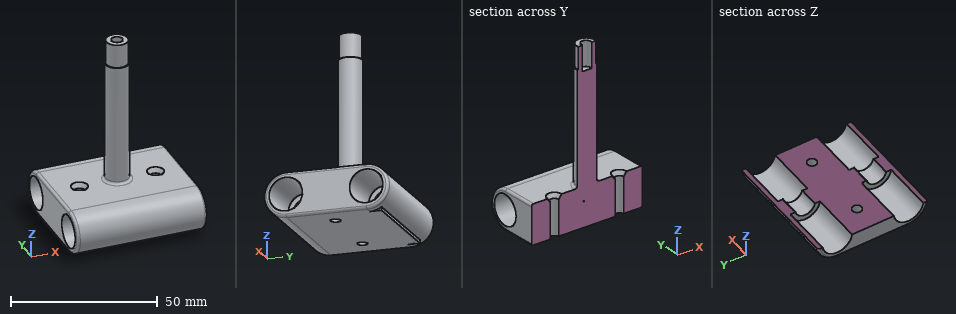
import cadquery as cq

body_length = 48.0
body_width = 45.0
body_height = 16.0
end_fillet = 1.0
body_top = body_height / 2
body_bottom = -body_height / 2

bore_offset = (body_width - body_height) / 2
bore_diameter = 8.0
socket_diameter = 12.0
socket_depth = 20.0

screw_spacing = 28.0
screw_diameter = 3.5
countersink_diameter = 5.9
countersink_angle = 70.0

overall_height = 69.97
post_offset_y = 0.5
post_diameter = 8.6
post_length = 45.2
post_fillet = 1.0
neck_diameter = 7.9
post_hole_diameter = 4.0
post_hole_depth = 10.0
post_top = body_bottom + overall_height
shoulder_z = body_top + post_length

foot_edge_y = 18.7
foot_length = 40.0


def make_body():
    profile = cq.Workplane("YZ").slot2D(body_width, body_height)
    block = profile.extrude(body_length / 2, both=True)
    return block.faces("<X or >X").edges().fillet(end_fillet)


def make_foot():
    """Wedge between the underside plane and the rounded +Y side."""
    foot_width = foot_edge_y - bore_offset
    foot_height = body_height / 2
    foot_centre = (0, bore_offset + foot_width / 2, body_bottom + foot_height / 2)
    block = cq.Workplane("XY").box(foot_length, foot_width, foot_height)
    return block.translate(foot_centre)


def make_post(body):
    """Body with the post added and its root blended into the top face."""
    shaft = (
        cq.Workplane("XY", origin=(0, post_offset_y, body_top))
        .circle(post_diameter / 2)
        .extrude(post_length)
    )
    neck = (
        cq.Workplane("XY", origin=(0, post_offset_y, shoulder_z))
        .circle(neck_diameter / 2)
        .extrude(post_top - shoulder_z)
    )
    root = cq.selectors.BoxSelector(
        (-post_diameter, post_offset_y - post_diameter, body_top - post_fillet),
        (post_diameter, post_offset_y + post_diameter, body_top + post_fillet),
    )
    return body.union(shaft).edges(root).fillet(post_fillet).union(neck)


def x_cylinder(diameter, start_x, end_x, y):
    section = cq.Workplane("YZ", origin=(start_x, y, 0)).circle(diameter / 2)
    return section.extrude(end_x - start_x)


def cut_bores(part):
    """Through bore on each side, opened into a socket from both ends."""
    end_x = body_length / 2
    for y in (-bore_offset, bore_offset):
        part = part.cut(x_cylinder(bore_diameter, -end_x, end_x, y))
        part = part.cut(x_cylinder(socket_diameter, -end_x, socket_depth - end_x, y))
        part = part.cut(x_cylinder(socket_diameter, end_x - socket_depth, end_x, y))
    return part


def cut_screw_holes(part):
    return (
        part.copyWorkplane(cq.Workplane("XY", origin=(0, 0, body_top)))
        .pushPoints([(-screw_spacing / 2, 0), (screw_spacing / 2, 0)])
        .cskHole(screw_diameter, countersink_diameter, countersink_angle)
    )


def cut_post_hole(part):
    drill = (
        cq.Workplane("XY", origin=(0, post_offset_y, post_top))
        .circle(post_hole_diameter / 2)
        .extrude(-post_hole_depth)
    )
    return part.cut(drill)


part = make_post(make_body().union(make_foot()))
part = cut_bores(part)
part = cut_screw_holes(part)
result = cut_post_hole(part)